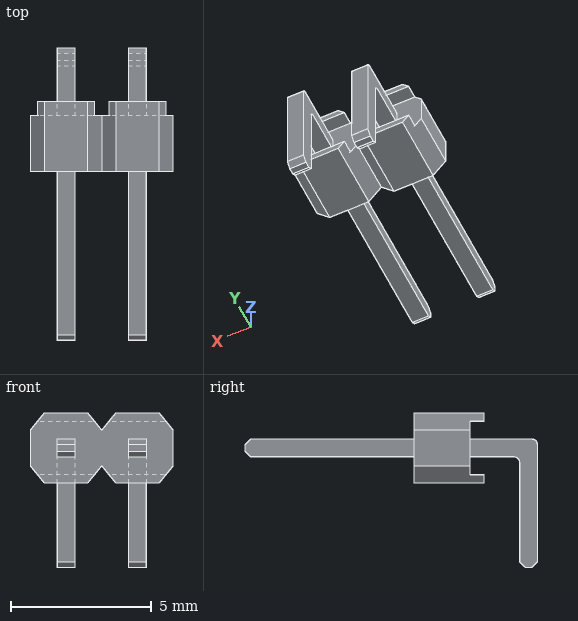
import cadquery as cq

pin_count = 2
pitch = 2.54

body_height = 2.5
body_depth = 2.5
corner_width = 0.5
corner_height = 0.61
lip_thickness = 0.3
recess_depth = 0.5

pin_size = 0.64
front_length = 6.0
rear_length = 1.9
leg_drop = 4.25
tip_chamfer = 0.2
outer_bend = 0.2
inner_bend = 0.2

row_width = pin_count * pitch
pin_positions = [(i - (pin_count - 1) / 2) * pitch for i in range(pin_count)]
pin_front = -front_length
pin_back = body_depth + rear_length


def body_cell(x):
    """One octagonal cell of the body, centred on a pin at x."""
    half_width = pitch / 2
    half_height = body_height / 2
    flat_x = half_width - corner_width
    flat_z = half_height - corner_height
    outline = [
        (-half_width, -flat_z),
        (-flat_x, -half_height),
        (flat_x, -half_height),
        (half_width, -flat_z),
        (half_width, flat_z),
        (flat_x, half_height),
        (-flat_x, half_height),
        (-half_width, flat_z),
    ]
    return cq.Workplane("XZ").polyline(outline).close().extrude(-body_depth).translate((x, 0, 0))


def rear_recess():
    """Slot along the whole row, leaving a thin lip at the top and bottom of the rear face."""
    return cq.Workplane("XY").box(
        row_width, recess_depth, body_height - 2 * lip_thickness
    ).translate((0, body_depth - recess_depth / 2, 0))


def bent_pin(x):
    """L-shaped square pin with bevelled tips, drawn as a side profile in the YZ plane."""
    half_size = pin_size / 2
    leg_front = pin_back - pin_size
    outline = [
        (pin_front + tip_chamfer, half_size),
        (pin_back, half_size),
        (pin_back, -leg_drop + tip_chamfer),
        (pin_back - tip_chamfer, -leg_drop),
        (leg_front + tip_chamfer, -leg_drop),
        (leg_front, -leg_drop + tip_chamfer),
        (leg_front, -half_size),
        (pin_front + tip_chamfer, -half_size),
        (pin_front, -half_size + tip_chamfer),
        (pin_front, half_size - tip_chamfer),
    ]
    pin = cq.Workplane("YZ").polyline(outline).close().extrude(half_size, both=True)
    outer_corner = cq.selectors.NearestToPointSelector((0, pin_back, half_size))
    inner_corner = cq.selectors.NearestToPointSelector((0, leg_front, -half_size))
    pin = pin.edges("|X").edges(outer_corner).fillet(outer_bend)
    pin = pin.edges("|X").edges(inner_corner).fillet(inner_bend)
    return pin.translate((x, 0, 0))


result = body_cell(pin_positions[0])
for position in pin_positions[1:]:
    result = result.union(body_cell(position))
result = result.cut(rear_recess())
for position in pin_positions:
    result = result.union(bent_pin(position))